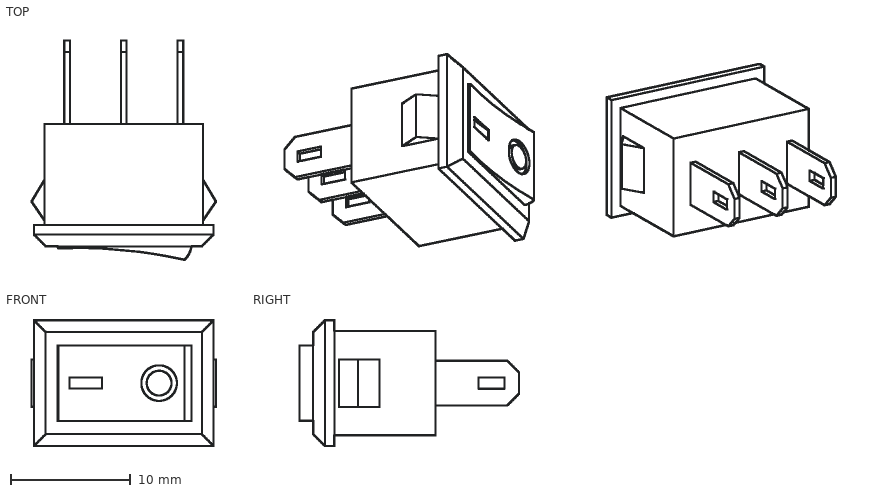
import cadquery as cq


bezel_width = 15.0
bezel_height = 10.5
bezel_thickness = 1.78
bezel_bevel = 0.99

body_width = 13.25
body_height = 8.73
body_depth = 8.45
body_back = bezel_thickness + body_depth

clip_span = 15.4
clip_height = 3.97
clip_front = 2.16
clip_peak = 3.74
clip_back = 5.53

terminal_count = 3
terminal_pitch = 4.72
terminal_thickness = 0.5
terminal_height = 3.75
terminal_length = 6.95
terminal_bevel = 0.99
terminal_tip = body_back + terminal_length
slot_length = 2.15
slot_height = 0.93
slot_tip_gap = 1.23

rocker_height = 6.28
rocker_left = -5.53
rocker_right = 5.65
rocker_low_x = -5.45
rocker_low_rise = 0.18
rocker_mid_x = 1.67
rocker_mid_rise = 0.51
rocker_tip_x = 5.07
rocker_tip_rise = 18.31 - terminal_tip
rocker_nose_x = 5.47
rocker_nose_rise = 0.59
rocker_root = bezel_thickness / 2

bar_left = -4.55
bar_length = 2.75
bar_height = 0.93
bar_left_floor = 0.16
bar_right_floor = -0.11
ring_x = 2.95
ring_outer_diameter = 2.97
ring_inner_diameter = 2.07
ring_depth = 0.25


def centered_prism(outline, height):
    """Extrude a closed XY outline symmetrically about Z = 0."""
    return outline.extrude(height).translate((0, 0, -height / 2))


def front_plane(y):
    """Work plane at the given Y, with X right, Z up and its normal toward -Y."""
    return cq.Workplane("XZ", origin=(0, y, 0))


def make_bezel():
    slab = front_plane(bezel_thickness).rect(bezel_width, bezel_height).extrude(bezel_thickness)
    return slab.faces("<Y").chamfer(bezel_bevel)


def make_body():
    return front_plane(body_back).rect(body_width, body_height).extrude(body_depth)


def make_clip(side):
    outline = (
        cq.Workplane("XY")
        .moveTo(0, clip_front)
        .lineTo(side * body_width / 2, clip_front)
        .lineTo(side * clip_span / 2, clip_peak)
        .lineTo(side * body_width / 2, clip_back)
        .lineTo(0, clip_back)
        .close()
    )
    return centered_prism(outline, clip_height)


def make_terminal(x):
    blade = (
        cq.Workplane("XY")
        .box(terminal_thickness, terminal_length, terminal_height)
        .faces(">Y")
        .edges("|X")
        .chamfer(terminal_bevel)
        .translate((x, body_back + terminal_length / 2, 0))
    )
    slot = (
        cq.Workplane("XY")
        .box(terminal_thickness, slot_length, slot_height)
        .translate((x, terminal_tip - slot_tip_gap - slot_length / 2, 0))
    )
    return blade.cut(slot)


def make_rocker():
    outline = (
        cq.Workplane("XY")
        .moveTo(rocker_left, rocker_root)
        .lineTo(rocker_left, 0)
        .lineTo(rocker_low_x, -rocker_low_rise)
        .threePointArc((rocker_mid_x, -rocker_mid_rise), (rocker_tip_x, -rocker_tip_rise))
        .threePointArc((rocker_nose_x, -rocker_nose_rise), (rocker_right, 0))
        .lineTo(rocker_right, rocker_root)
        .close()
    )
    return centered_prism(outline, rocker_height)


def make_bar_mark():
    """Bar cutter with a flat floor that slopes from deep on the left to shallow on the right."""
    bar_right = bar_left + bar_length
    outline = (
        cq.Workplane("XY")
        .moveTo(bar_left, bar_left_floor)
        .lineTo(bar_right, bar_right_floor)
        .lineTo(bar_right, -rocker_tip_rise)
        .lineTo(bar_left, -rocker_tip_rise)
        .close()
    )
    return centered_prism(outline, bar_height)


def make_ring_mark():
    """Ring cutter whose floor runs parallel to the curved rocker face."""
    ring = (
        front_plane(ring_depth)
        .center(ring_x, 0)
        .circle(ring_outer_diameter / 2)
        .circle(ring_inner_diameter / 2)
        .extrude(rocker_tip_rise + ring_depth)
    )
    return ring.cut(make_rocker().translate((0, ring_depth, 0)))


result = make_body().union(make_bezel()).union(make_rocker())
for side in (-1, 1):
    result = result.union(make_clip(side))
for index in range(terminal_count):
    offset = index - (terminal_count - 1) / 2
    result = result.union(make_terminal(offset * terminal_pitch))
result = result.cut(make_bar_mark()).cut(make_ring_mark())